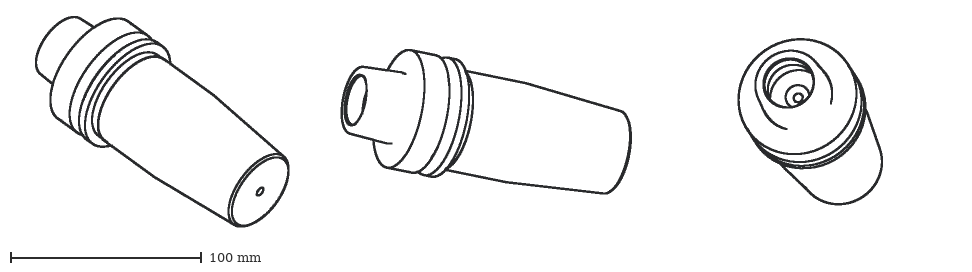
import cadquery as cq
import math

total_length = 150.0
shank_length = 25.0
flange_width = 26.0
flange_back = shank_length + flange_width
neck_end = 55.6
taper_start = 92.8

shank_taper_end = 22.5
shank_taper_slope = 1 / 20
shank_top_radius = 19.0
shank_tip_radius = shank_top_radius - shank_taper_end * shank_taper_slope
shank_tip_fillet = 1.0
shank_neck_start = 23.7
shank_neck_radius = 18.8
shank_root_fillet = 0.9

relief_outer_radius = 21.0
relief_inner_radius = shank_neck_radius + shank_root_fillet
relief_depth = 0.3
relief_floor = shank_length + relief_depth

flange_radius = 31.5
groove_center = 43.0
groove_bottom_radius = 27.5
groove_bottom_width = 2.8
groove_flank_angle = 27.0
groove_fillet = 0.9

neck_radius = 26.2
body_radius = 26.5
nose_radius = 22.0
nose_chamfer = 1.2

mouth_radius = 13.0
mouth_chamfer_width = 0.5
mouth_chamfer_length = 0.9
mouth_depth = 10.2
cavity_radius = 14.5
cavity_depth = shank_length
funnel_radius = 6.3
coolant_hole_radius = 2.4
funnel_angle = 60.0


def revolve_about_x(profile):
    """Turn a closed (x, radius) profile into a solid of revolution about the X axis."""
    return profile.close().revolve(360, (0, 0, 0), (1, 0, 0))


def make_shank():
    profile = (
        cq.Workplane("XZ")
        .lineTo(0, shank_tip_radius)
        .lineTo(shank_taper_end, shank_top_radius)
        .lineTo(shank_neck_start, shank_neck_radius)
        .lineTo(relief_floor - shank_root_fillet, shank_neck_radius)
        .tangentArcPoint((relief_floor, relief_inner_radius), relative=False)
        .lineTo(relief_floor, 0)
    )
    return revolve_about_x(profile).faces("<X").edges().fillet(shank_tip_fillet)


def make_flange():
    flange = cq.Workplane("YZ", origin=(shank_length, 0, 0)).circle(flange_radius).extrude(flange_width)
    return flange.cut(make_face_relief()).cut(make_gripper_groove())


def make_face_relief():
    profile = (
        cq.Workplane("XZ")
        .moveTo(shank_length, 0)
        .lineTo(shank_length, relief_outer_radius)
        .lineTo(relief_floor, relief_inner_radius)
        .lineTo(relief_floor, 0)
    )
    return revolve_about_x(profile)


def make_gripper_groove():
    bottom_half = groove_bottom_width / 2
    flank_run = (flange_radius - groove_bottom_radius) * math.tan(math.radians(groove_flank_angle))
    mouth_half = bottom_half + flank_run
    profile = (
        cq.Workplane("XZ")
        .moveTo(groove_center - mouth_half, flange_radius)
        .lineTo(groove_center - bottom_half, groove_bottom_radius)
        .lineTo(groove_center + bottom_half, groove_bottom_radius)
        .lineTo(groove_center + mouth_half, flange_radius)
    )
    groove = revolve_about_x(profile)
    bottom_edges = cq.selectors.RadiusNthSelector(0)
    return groove.edges(bottom_edges).fillet(groove_fillet)


def make_body():
    profile = (
        cq.Workplane("XZ")
        .moveTo(flange_back, 0)
        .lineTo(flange_back, neck_radius)
        .lineTo(neck_end, neck_radius)
        .lineTo(neck_end, body_radius)
        .lineTo(taper_start, body_radius)
        .lineTo(total_length, nose_radius)
        .lineTo(total_length, 0)
    )
    return revolve_about_x(profile).faces(">X").edges().chamfer(nose_chamfer)


def make_cavity():
    funnel_run = (funnel_radius - coolant_hole_radius) / math.tan(math.radians(funnel_angle))
    profile = (
        cq.Workplane("XZ")
        .lineTo(0, mouth_radius + mouth_chamfer_width)
        .lineTo(mouth_chamfer_length, mouth_radius)
        .lineTo(mouth_depth, mouth_radius)
        .lineTo(mouth_depth, cavity_radius)
        .lineTo(cavity_depth, cavity_radius)
        .lineTo(cavity_depth, funnel_radius)
        .lineTo(cavity_depth + funnel_run, coolant_hole_radius)
        .lineTo(total_length, coolant_hole_radius)
        .lineTo(total_length, 0)
    )
    return revolve_about_x(profile)


result = make_flange().union(make_shank()).union(make_body()).cut(make_cavity())